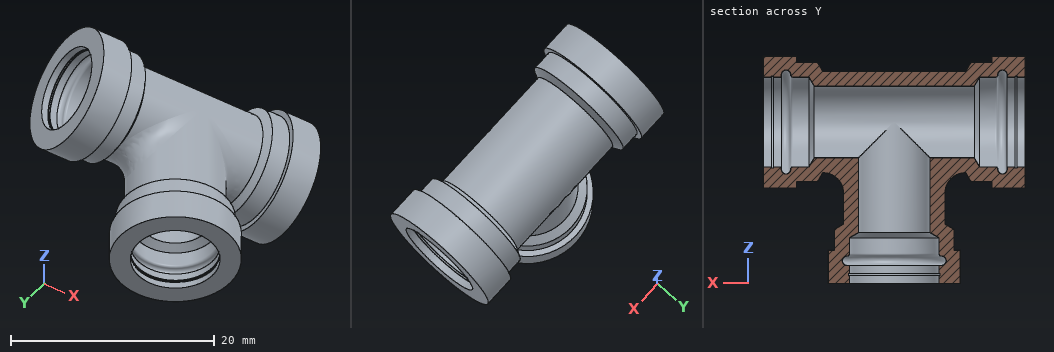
import cadquery as cq
import math


TUBE_R = 5.0
SHOULDER_R = 5.9
COLLAR_R = 6.5
COLLAR_LENGTH = 3.3
SHOULDER_END = 5.35
TAPER_ANGLE = 30
TAPER_SLOPE = math.tan(math.radians(TAPER_ANGLE))
TUBE_END = SHOULDER_END + (SHOULDER_R - TUBE_R) * TAPER_SLOPE
CROTCH_FILLET_R = 2.0
RUN_LENGTH = 25.77
OVERALL_HEIGHT = 22.39
RUN_HALF_LENGTH = RUN_LENGTH / 2
BRANCH_LENGTH = OVERALL_HEIGHT - COLLAR_R

SOCKET_R = 4.4
BORE_R = 3.5
SOCKET_DEPTH = 4.5
SEAT_LENGTH = (SOCKET_R - BORE_R) * TAPER_SLOPE
LOCK_GROOVE_START = 0.8
LOCK_GROOVE_WIDTH = 0.2
LOCK_GROOVE_DEPTH = 0.1
SEAL_GROOVE_START = 1.8
SEAL_GROOVE_R = 0.45
SEAL_LIP_R = 0.25

LEGS = (
    ((1, 0, 0), RUN_HALF_LENGTH),
    ((-1, 0, 0), RUN_HALF_LENGTH),
    ((0, 0, -1), BRANCH_LENGTH),
)


def leg_frame(direction):
    """Workplane with local Y along the leg and local X radial from its axis."""
    radial = cq.Vector(0, 1, 0)
    normal = radial.cross(cq.Vector(*direction))
    return cq.Workplane(cq.Plane(origin=(0, 0, 0), xDir=radial, normal=normal))


def revolve_leg(profile):
    """Close a profile drawn in a leg frame and turn it about the leg axis."""
    return profile.close().revolve(360, (0, 0, 0), (0, 1, 0))


def leg_outside(direction, length):
    """Tapered shoulder and end collar, seated on the end of the tube."""
    collar_start = length - COLLAR_LENGTH
    shoulder_start = length - SHOULDER_END
    tube_end = length - TUBE_END
    return revolve_leg(
        leg_frame(direction)
        .moveTo(0, tube_end)
        .lineTo(TUBE_R, tube_end)
        .lineTo(SHOULDER_R, shoulder_start)
        .lineTo(SHOULDER_R, collar_start)
        .lineTo(COLLAR_R, collar_start)
        .lineTo(COLLAR_R, length)
        .lineTo(0, length)
    )


def leg_bore(direction, length):
    """Through bore opening by a conical seat into the socket."""
    seat = length - SOCKET_DEPTH
    return revolve_leg(
        leg_frame(direction)
        .lineTo(BORE_R, 0)
        .lineTo(BORE_R, seat - SEAT_LENGTH)
        .lineTo(SOCKET_R, seat)
        .lineTo(SOCKET_R, length)
        .lineTo(0, length)
    )


def lock_groove(direction, length):
    """Narrow square groove near the socket mouth."""
    outer_end = length - LOCK_GROOVE_START
    inner_end = outer_end - LOCK_GROOVE_WIDTH
    floor_r = SOCKET_R + LOCK_GROOVE_DEPTH
    return revolve_leg(
        leg_frame(direction)
        .moveTo(0, inner_end)
        .lineTo(floor_r, inner_end)
        .lineTo(floor_r, outer_end)
        .lineTo(0, outer_end)
    )


def seal_groove(direction, length):
    """Half-round groove, sharp at its outer lip and rounded at its inner lip."""
    outer_end = length - SEAL_GROOVE_START
    center = outer_end - SEAL_GROOVE_R
    arc_end = center - SEAL_GROOVE_R
    lip_end = arc_end - SEAL_LIP_R
    arc_r = SOCKET_R + SEAL_LIP_R
    lip_mid_offset = SEAL_LIP_R * math.sin(math.radians(45))
    lip_mid_r = arc_r - lip_mid_offset
    lip_mid = lip_end + lip_mid_offset
    return revolve_leg(
        leg_frame(direction)
        .moveTo(0, lip_end)
        .lineTo(SOCKET_R, lip_end)
        .threePointArc((lip_mid_r, lip_mid), (arc_r, arc_end))
        .threePointArc((arc_r + SEAL_GROOVE_R, center), (arc_r, outer_end))
        .lineTo(SOCKET_R, outer_end)
        .lineTo(0, outer_end)
    )


def tee_core():
    """Plain tubes of run and branch with filleted crotches.

    The fillet fades to nothing where the tubes cross at their sides, so it is made on the
    quarter with X > 0 and Y > 0, which has one smooth edge, and the quarter is mirrored.
    """
    run_end = RUN_HALF_LENGTH - TUBE_END
    branch_end = BRANCH_LENGTH - TUBE_END
    run_tube = cq.Workplane("YZ").circle(TUBE_R).extrude(run_end, both=True)
    branch_tube = cq.Workplane("XY").circle(TUBE_R).extrude(-branch_end)
    plain_tee = run_tube.union(branch_tube)
    quarter_space = cq.Workplane("XY").box(
        2 * run_end, 2 * TUBE_R, 2 * (TUBE_R + branch_end), centered=(False, False, True)
    )
    quarter = plain_tee.intersect(quarter_space).edges("%ELLIPSE").fillet(CROTCH_FILLET_R)
    half = quarter.union(quarter.mirror("XZ"))
    return plain_tee.union(half).union(half.mirror("YZ"))


body = tee_core()
for leg in LEGS:
    body = body.union(leg_outside(*leg))
for leg in LEGS:
    for cutter in (leg_bore, lock_groove, seal_groove):
        body = body.cut(cutter(*leg))

result = body